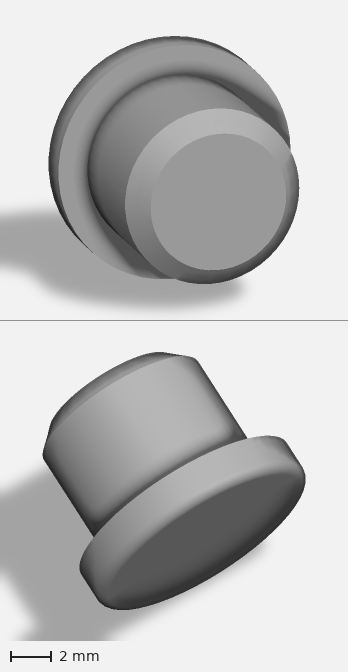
import cadquery as cq

head_diameter = 12.0
head_thickness = head_diameter / 6
shank_diameter = 0.75 * head_diameter
total_length = 9.0
tip_chamfer = head_diameter / 12
head_edge_radius = tip_chamfer / 2

head = (
    cq.Workplane("YZ")
    .circle(head_diameter / 2)
    .extrude(head_thickness)
    .faces("<X")
    .edges()
    .fillet(head_edge_radius)
)

shank = (
    cq.Workplane("YZ")
    .workplane(offset=head_thickness)
    .circle(shank_diameter / 2)
    .extrude(total_length - head_thickness)
    .faces(">X")
    .edges()
    .chamfer(tip_chamfer)
)

result = head.union(shank)